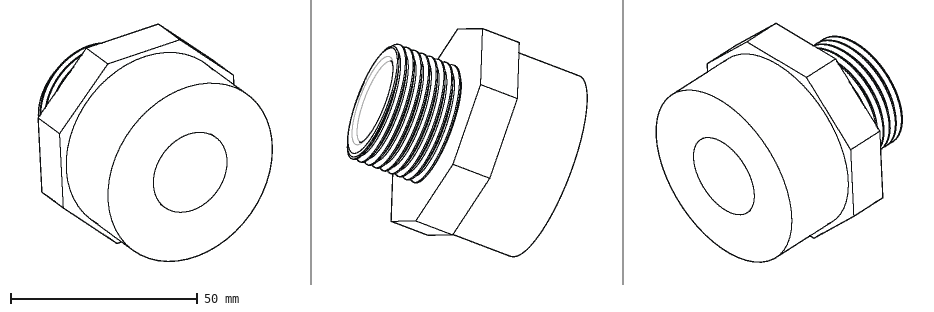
import cadquery as cq
import math


total_length = 51.4
spigot_length = 19.1
collar_width = 11.0
collar_end = spigot_length + collar_width
socket_length = total_length - collar_end

bore_diameter = 23.25
spigot_diameter = 30.2
socket_diameter = 51.9
mouth_radius = 1.0

collar_sides = 8
across_flats = 54.95
across_corners = across_flats / math.cos(math.pi / collar_sides)
collar_turn = 25.5

thread_diameter = 33.25
thread_pitch = 2.3
thread_base_width = 1.8
thread_crest_width = 0.4
first_crest = 0.14
thread_height = (thread_diameter - spigot_diameter) / 2


def rod(diameter, start, length):
    """Solid cylinder on the X axis."""
    return cq.Workplane("YZ", origin=(start, 0, 0)).circle(diameter / 2).extrude(length)


def make_fitting():
    """Spigot and socket in one piece, with a through bore rounded at the spigot mouth."""
    blank = rod(spigot_diameter, 0, collar_end).union(rod(socket_diameter, collar_end, socket_length))
    bored = blank.cut(rod(bore_diameter, 0, total_length))
    mouth_edge = cq.selectors.RadiusNthSelector(0)
    return bored.faces("<X").edges(mouth_edge).fillet(mouth_radius)


def make_collar():
    """Octagonal ring seated on the spigot against the socket shoulder."""
    octagon = (
        cq.Workplane("YZ", origin=(spigot_length, 0, 0))
        .polygon(collar_sides, across_corners)
        .extrude(collar_width)
        .rotate((0, 0, 0), (1, 0, 0), collar_turn)
    )
    return octagon.cut(rod(spigot_diameter, spigot_length, collar_width))


def make_thread():
    """Helical ridge around the spigot, trimmed flush at both ends."""
    root_radius = spigot_diameter / 2
    crest_radius = thread_diameter / 2
    sweep_start = first_crest - thread_pitch
    turns = math.ceil((spigot_length - sweep_start) / thread_pitch) + 1
    helix = cq.Wire.makeHelix(thread_pitch, turns * thread_pitch, root_radius)

    half_base = thread_base_width / 2
    half_crest = thread_crest_width / 2
    ridge = (
        cq.Workplane("XZ")
        .polyline([
            (root_radius, -half_base),
            (crest_radius, -half_crest),
            (crest_radius, half_crest),
            (root_radius, half_base),
        ])
        .close()
        .sweep(cq.Workplane(obj=helix), isFrenet=True)
        .rotate((0, 0, 0), (0, 1, 0), 90)
        .translate((sweep_start, 0, 0))
    )
    trim_diameter = thread_diameter + thread_height
    trim_length = 3 * thread_pitch
    front_trim = rod(trim_diameter, -trim_length, trim_length)
    back_trim = rod(trim_diameter, spigot_length, trim_length)
    return ridge.cut(front_trim).cut(back_trim)


def center_on_origin(body):
    """Move a body so that the middle of the adapter is at the origin."""
    return body.translate((-total_length / 2, 0, 0))


fitting = center_on_origin(make_fitting())
collar = center_on_origin(make_collar())
thread = center_on_origin(make_thread())

result = cq.Compound.makeCompound([*fitting.vals(), *collar.vals(), *thread.vals()])